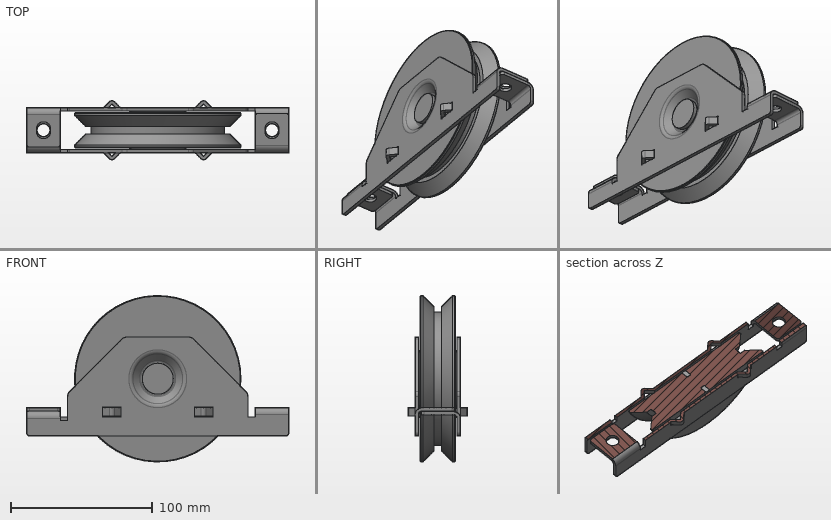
import cadquery as cq
import math


wheel_dia = 118.0
wheel_width = 25.0
groove_dia = 95.0
groove_width = 5.0
rim_flat = 2.0
rim_chamfer = 0.5
wheel_recess_dia = 47.0
wheel_web_width = 14.0

shaft_dia = 17.0
head_dia = 22.0
head_thickness = 3.0

sheet = 2.5
bracket_width = 32.0
bracket_length = 186.0
plate_bottom = -40.5
plate_top = 29.5
shoulder_half_length = 64.0
peak_half_length = 24.0
shoulder_z = plate_top - (shoulder_half_length - peak_half_length)
plate_corner_radius = 5.0
foot_corner_radius = 2.0

tab_length = 24.0
foot_height = 20.0
tab_gap = 0.1
upper_tab_reach = 12.0
lower_tab_reach = 11.6
tab_corner_radius = 2.0
bend_radius = 5.0
notch_depth = 1.5
tab_hole_dia = 9.0
tab_slot_length = 12.0
tab_slot_width = 10.0

dish_dia = 41.0
dish_rim_radius = 4.0
dish_floor_dia = 24.0
dish_floor_radius = 1.0
dish_wall_angle = math.radians(45.0)

bridge_x = 32.5
bridge_z = -23.5
bridge_length = 13.0
bridge_height = 6.0
bridge_opening_height = 7.0
bridge_rise = 4.99

half_length = bracket_length / 2
outer_y = -bracket_width / 2
inner_y = outer_y + sheet
tab_start = half_length - tab_length
tab_middle = half_length - tab_length / 2
upper_tab_top = plate_bottom + foot_height
lower_tab_top = upper_tab_top - sheet - tab_gap

wall_sin = math.sin(dish_wall_angle)
wall_cos = math.cos(dish_wall_angle)
dish_wall_span = (dish_dia - dish_floor_dia) / 2 - (dish_rim_radius + dish_floor_radius) * wall_sin
dish_depth = (
    (dish_rim_radius + dish_floor_radius) * (1 - wall_cos)
    + dish_wall_span * math.tan(dish_wall_angle)
)
dish_floor_y = outer_y + dish_depth


def edges_through_plate(points):
    """Selector for the edges across the plate thickness at the given (x, z) corners."""
    margin = 0.1
    boxes = [
        cq.selectors.BoxSelector(
            (x - margin, outer_y - margin, z - margin), (x + margin, inner_y + margin, z + margin)
        )
        for x, z in points
    ]
    selector = boxes[0]
    for box in boxes[1:]:
        selector = selector + box
    return selector


def plate_blank():
    """Flat plate of the -Y bracket, lower tab at -X and upper tab at +X."""
    lower_fold = lower_tab_top - bend_radius
    upper_fold = upper_tab_top - bend_radius
    outline = [
        (-half_length, plate_bottom),
        (half_length, plate_bottom),
        (half_length, upper_fold),
        (tab_start, upper_fold),
        (tab_start, upper_fold - notch_depth),
        (shoulder_half_length, upper_fold - notch_depth),
        (shoulder_half_length, shoulder_z),
        (peak_half_length, plate_top),
        (-peak_half_length, plate_top),
        (-shoulder_half_length, shoulder_z),
        (-shoulder_half_length, lower_fold - notch_depth),
        (-tab_start, lower_fold - notch_depth),
        (-tab_start, lower_fold),
        (-half_length, lower_fold),
    ]
    plate = cq.Workplane("XZ", origin=(0, inner_y, 0)).polyline(outline).close().extrude(sheet)

    upper_corners = [
        (side * x, z)
        for side in (-1, 1)
        for x, z in ((shoulder_half_length, shoulder_z), (peak_half_length, plate_top))
    ]
    feet = [(-half_length, plate_bottom), (half_length, plate_bottom)]
    plate = plate.edges("|Y").edges(edges_through_plate(upper_corners)).fillet(plate_corner_radius)
    return plate.edges("|Y").edges(edges_through_plate(feet)).fillet(foot_corner_radius)


def folded_tab(x_start, top, reach):
    """Fold and flat of one tab, with rounded corners at its free end."""
    inner_radius = bend_radius - sheet
    fold_y = outer_y + bend_radius
    fold_z = top - bend_radius
    slant = math.sqrt(0.5)
    tab = (
        cq.Workplane("YZ", origin=(x_start, 0, 0))
        .moveTo(outer_y, fold_z)
        .threePointArc((fold_y - bend_radius * slant, fold_z + bend_radius * slant), (fold_y, top))
        .lineTo(reach, top)
        .lineTo(reach, top - sheet)
        .lineTo(fold_y, top - sheet)
        .threePointArc((fold_y - inner_radius * slant, fold_z + inner_radius * slant), (inner_y, fold_z))
        .close()
        .extrude(tab_length)
    )
    return tab.faces(">Y").edges("|Z").fillet(tab_corner_radius)


def lower_tab():
    """Tab at -X with a round hole."""
    tab = folded_tab(-half_length, lower_tab_top, lower_tab_reach)
    hole = (
        cq.Workplane("XY", origin=(-tab_middle, 0, lower_tab_top - sheet))
        .circle(tab_hole_dia / 2)
        .extrude(sheet)
    )
    return tab.cut(hole)


def upper_tab():
    """Tab at +X with a slotted hole."""
    tab = folded_tab(tab_start, upper_tab_top, upper_tab_reach)
    slot = (
        cq.Workplane("XY", origin=(tab_middle, 0, upper_tab_top - sheet))
        .slot2D(tab_slot_length, tab_slot_width, 90)
        .extrude(sheet)
    )
    return tab.cut(slot)


def dish():
    """Round dish pressed towards the wheel, with a flat holed floor."""
    rim_r = dish_dia / 2
    floor_r = dish_floor_dia / 2
    rim_centre_y = outer_y + dish_rim_radius
    floor_centre_y = dish_floor_y - dish_floor_radius

    def rim_point(radius, angle):
        return rim_r - radius * math.sin(angle), rim_centre_y - radius * math.cos(angle)

    def floor_point(radius, angle):
        return floor_r + radius * math.sin(angle), floor_centre_y + radius * math.cos(angle)

    half_angle = dish_wall_angle / 2
    rim_back_radius = dish_rim_radius - sheet
    floor_back_radius = dish_floor_radius + sheet
    return (
        cq.Workplane("XY")
        .moveTo(shaft_dia / 2, dish_floor_y)
        .lineTo(*floor_point(dish_floor_radius, 0))
        .threePointArc(
            floor_point(dish_floor_radius, half_angle), floor_point(dish_floor_radius, dish_wall_angle)
        )
        .lineTo(*rim_point(dish_rim_radius, dish_wall_angle))
        .threePointArc(rim_point(dish_rim_radius, half_angle), rim_point(dish_rim_radius, 0))
        .lineTo(*rim_point(rim_back_radius, 0))
        .threePointArc(rim_point(rim_back_radius, half_angle), rim_point(rim_back_radius, dish_wall_angle))
        .lineTo(*floor_point(floor_back_radius, dish_wall_angle))
        .threePointArc(
            floor_point(floor_back_radius, half_angle), floor_point(floor_back_radius, 0)
        )
        .lineTo(shaft_dia / 2, dish_floor_y + sheet)
        .close()
        .revolve(360, (0, 0, 0), (0, 1, 0))
    )


def bridge_opening(x):
    """Cutter for the window that a bridge is lanced from."""
    return cq.Workplane("XY").box(bridge_length, sheet, bridge_opening_height).translate(
        (x, (outer_y + inner_y) / 2, bridge_z)
    )


def bridge(x):
    """V-shaped strip lanced out of the plate, with arms at 45 degrees."""
    tip_y = outer_y - bridge_rise
    apex_y = tip_y - sheet * (math.sqrt(2) - 1)
    inner_apex_y = apex_y + sheet * math.sqrt(2)
    half = bridge_length / 2
    inner_half = inner_y - inner_apex_y
    strip = (
        cq.Workplane("XY", origin=(x, 0, bridge_z - bridge_height / 2))
        .polyline([
            (-half, inner_y),
            (-half, apex_y + half),
            (0, apex_y),
            (half, apex_y + half),
            (half, inner_y),
            (inner_half, inner_y),
            (0, inner_apex_y),
            (-inner_half, inner_y),
        ])
        .close()
        .extrude(bridge_height)
    )
    return strip.edges("|Z").edges("<Y").fillet(sheet)


def make_bracket():
    """Bracket on the -Y side of the wheel."""
    body = plate_blank().union(lower_tab()).union(upper_tab())
    dish_hole = cq.Workplane("XZ", origin=(0, inner_y, 0)).circle(dish_dia / 2).extrude(sheet)
    body = body.cut(dish_hole).union(dish())
    for x in (-bridge_x, bridge_x):
        body = body.cut(bridge_opening(x)).union(bridge(x))
    return body


def make_wheel():
    """Grooved wheel with a recess in each face for the bracket dishes."""
    half_width = wheel_width / 2
    half_groove = groove_width / 2
    half_web = wheel_web_width / 2
    rim_r = wheel_dia / 2
    flank_end = half_width - rim_flat
    flank_foot_r = rim_r - (flank_end - half_groove)
    half_profile = [
        (shaft_dia / 2, half_web),
        (wheel_recess_dia / 2, half_web),
        (wheel_recess_dia / 2, half_width),
        (rim_r - rim_chamfer, half_width),
        (rim_r, half_width - rim_chamfer),
        (rim_r, flank_end),
        (flank_foot_r, half_groove),
        (groove_dia / 2, half_groove),
    ]
    mirrored = [(r, -y) for r, y in reversed(half_profile)]
    profile = cq.Workplane("XY").polyline(half_profile + mirrored).close()
    return profile.revolve(360, (0, 0, 0), (0, 1, 0))


def make_axle():
    """Rivet with a head resting on the dish floor of each bracket."""
    head_seat = -dish_floor_y
    head_end = head_seat + head_thickness
    half_profile = [
        (0, head_end),
        (head_dia / 2, head_end),
        (head_dia / 2, head_seat),
        (shaft_dia / 2, head_seat),
    ]
    mirrored = [(r, -y) for r, y in reversed(half_profile)]
    profile = cq.Workplane("XY").polyline(half_profile + mirrored).close()
    return profile.revolve(360, (0, 0, 0), (0, 1, 0))


wheel = make_wheel()
axle = make_axle()
brackets = [make_bracket().rotate((0, 0, 0), (0, 0, 1), turn) for turn in (0, 180)]

result = cq.Compound.makeCompound([wheel.val(), axle.val(), *[bracket.val() for bracket in brackets]])